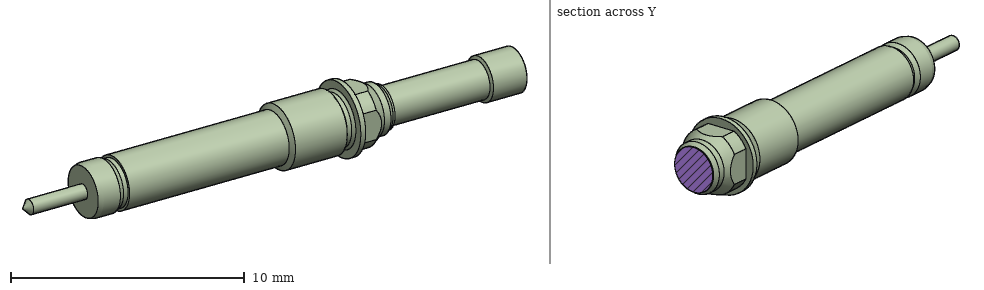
import cadquery as cq


HEAD_REAR = 8.72
HEAD_FRONT = 7.00
HEAD_RADIUS = 1.05
HEAD_STEP_LENGTH = 0.08
STEM_RADIUS = 0.90

COLLAR_REAR = 1.96
COLLAR_REAR_RADIUS = 1.05
COLLAR_LIP = 0.10
COLLAR_CONE_FRONT = 1.65
COLLAR_RADIUS = 1.20
COLLAR_FRONT = 1.32
SPANNER_SHOULDER = 0.80
SPANNER_RADIUS = 1.52
ACROSS_FLATS = 2.70

FLANGE_RADIUS = 1.75
FLANGE_THICKNESS = 0.25
FLANGE_ROOT_RADIUS = 1.36
FLANGE_ROOT_LENGTH = 0.14

BODY_RADIUS = 1.25
RING_REAR = -0.62
RING_FRONT = -3.59
RING_RADIUS = 1.50
RING_CHAMFER = 0.16

GROOVE_REAR = -11.76
GROOVE_FLOOR_FRONT = -11.99
GROOVE_FRONT = -12.23
GROOVE_RADIUS = 1.13
NOSE_FRONT = -13.32
NOSE_CHAMFER_LENGTH = 0.25
NOSE_CHAMFER_DEPTH = 0.07

TOTAL_LENGTH = 25.15
PIN_RADIUS = 0.35
TIP = HEAD_REAR - TOTAL_LENGTH


def turned(profile):
    """Revolve an outline of (y, radius) points, drawn from rear to front, about the Y axis."""
    rear_y = profile[0][0]
    front_y, front_radius = profile[-1]
    points = [(0, rear_y)]
    points += [(radius, y) for y, radius in profile]
    if front_radius > 0:
        points.append((0, front_y))
    return cq.Workplane("XY").polyline(points).close().revolve(360, (0, 0), (0, 1))


def rear_tail():
    """Headed stem, running forward into the collar."""
    return turned([
        (HEAD_REAR, HEAD_RADIUS),
        (HEAD_FRONT, HEAD_RADIUS),
        (HEAD_FRONT - HEAD_STEP_LENGTH, STEM_RADIUS),
        (COLLAR_FRONT, STEM_RADIUS),
    ])


def spanner_section():
    """Tapered collar whose thick end carries four spanner flats."""
    section = turned([
        (COLLAR_REAR, COLLAR_REAR_RADIUS),
        (COLLAR_REAR - COLLAR_LIP, COLLAR_REAR_RADIUS),
        (COLLAR_CONE_FRONT, COLLAR_RADIUS),
        (COLLAR_FRONT, COLLAR_RADIUS),
        (SPANNER_SHOULDER, SPANNER_RADIUS),
        (0, SPANNER_RADIUS),
    ])
    flats = cq.Workplane("XZ").rect(ACROSS_FLATS, ACROSS_FLATS).extrude(-COLLAR_REAR)
    return section.intersect(flats)


def flange():
    """Thin stop disc."""
    return turned([(0, FLANGE_RADIUS), (-FLANGE_THICKNESS, FLANGE_RADIUS)])


def body():
    """Body tube tapering out of the flange, with press ring, crimp groove and chamfered nose."""
    return turned([
        (-FLANGE_THICKNESS, FLANGE_ROOT_RADIUS),
        (-FLANGE_THICKNESS - FLANGE_ROOT_LENGTH, BODY_RADIUS),
        (RING_REAR, BODY_RADIUS),
        (RING_REAR - RING_CHAMFER, RING_RADIUS),
        (RING_FRONT + RING_CHAMFER, RING_RADIUS),
        (RING_FRONT, BODY_RADIUS),
        (GROOVE_REAR, BODY_RADIUS),
        (GROOVE_REAR, GROOVE_RADIUS),
        (GROOVE_FLOOR_FRONT, GROOVE_RADIUS),
        (GROOVE_FRONT, BODY_RADIUS),
        (NOSE_FRONT + NOSE_CHAMFER_LENGTH, BODY_RADIUS),
        (NOSE_FRONT, BODY_RADIUS - NOSE_CHAMFER_DEPTH),
    ])


def pin():
    """Plunger pin with a conical point."""
    return turned([(NOSE_FRONT, PIN_RADIUS), (TIP + PIN_RADIUS, PIN_RADIUS), (TIP, 0)])


result = rear_tail().union(spanner_section()).union(flange()).union(body()).union(pin())